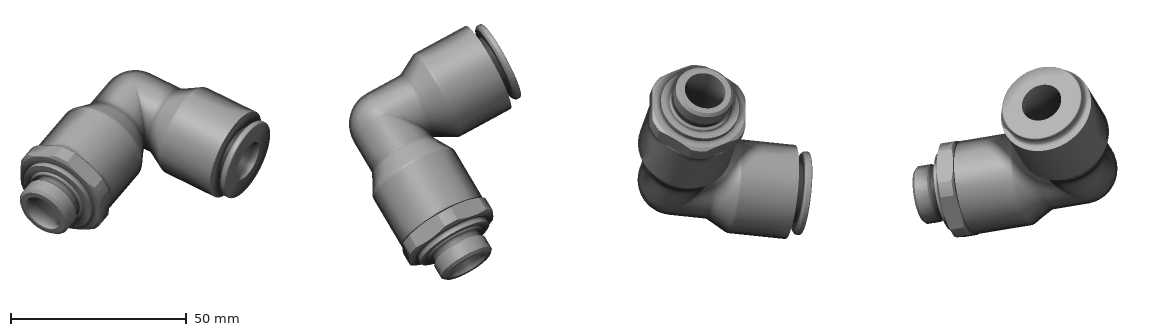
import cadquery as cq
import math

elbow_radius = 10.0
drum_radius = 13.5
bore_radius = 5.9
neck_blend_start = 10.2
shoulder_end = 17.6
drum_end = 34.05
cone_angle = math.radians(28)
neck_blend_radius = 2.35
shoulder_blend_radius = 1.9

collar_radius = 8.6
flange_radius = 11.9
flange_start = 36.2
collar_end = 38.25
flange_edge = 0.6
flange_lip = 0.45

gap_radius = 12.35
hex_start = 34.3
hex_end = 39.3
hex_flats = 2 * drum_radius
hex_corner_radius = 29.0 / 2
hex_chamfer = 0.5
washer_radius = 11.3
washer_end = 40.85
seal_radius = 9.1
seal_end = 41.5
thread_relief_radius = 7.55
thread_relief_end = 42.9
thread_radius = 8.35
thread_chamfer = 0.8
stem_end = 48.3


def along_x(profile):
    """Revolve an (x, radius) profile about the X axis."""
    return profile.close().revolve(360, (0, 0, 0), (1, 0, 0))


def x_to_minus_y(solid):
    """Swing a solid built along +X onto the -Y arm."""
    return solid.rotate((0, 0, 0), (0, 0, 1), -90)


def arm():
    """Neck that widens through a blended cone into the drum."""
    sin_cone = math.sin(cone_angle)
    cos_cone = math.cos(cone_angle)
    sin_half = math.sin(cone_angle / 2)
    cos_half = math.cos(cone_angle / 2)
    neck_rise = neck_blend_radius * (1 - cos_cone)
    shoulder_rise = shoulder_blend_radius * (1 - cos_cone)
    neck_middle = (
        neck_blend_start + neck_blend_radius * sin_half,
        elbow_radius + neck_blend_radius * (1 - cos_half),
    )
    cone_start = (neck_blend_start + neck_blend_radius * sin_cone, elbow_radius + neck_rise)
    cone_end = (shoulder_end - shoulder_blend_radius * sin_cone, drum_radius - shoulder_rise)
    shoulder_middle = (
        shoulder_end - shoulder_blend_radius * sin_half,
        drum_radius - shoulder_blend_radius * (1 - cos_half),
    )
    profile = (
        cq.Workplane("XY")
        .lineTo(0, elbow_radius)
        .lineTo(neck_blend_start, elbow_radius)
        .threePointArc(neck_middle, cone_start)
        .lineTo(*cone_end)
        .threePointArc(shoulder_middle, (shoulder_end, drum_radius))
        .lineTo(drum_end, drum_radius)
        .lineTo(drum_end, 0)
    )
    return along_x(profile)


def mitred_bend(radius, length):
    """Two round bars meeting at the origin, with a ball rounding the outer corner."""
    bar = cq.Workplane("YZ").circle(radius).extrude(length)
    return bar.union(x_to_minus_y(bar)).union(cq.Workplane("XY").sphere(radius))


def release_collar():
    """Collar sleeve and its edge-broken push flange."""
    profile = (
        cq.Workplane("XY")
        .moveTo(drum_end, 0)
        .lineTo(drum_end, collar_radius)
        .lineTo(flange_start, collar_radius)
        .lineTo(flange_start, flange_radius - flange_edge)
        .lineTo(flange_start + flange_edge, flange_radius)
        .lineTo(collar_end - flange_lip, flange_radius)
        .radiusArc((collar_end, flange_radius - flange_lip), flange_lip)
        .lineTo(collar_end, 0)
    )
    return along_x(profile)


def make_elbow():
    """Elbow housing with its collar and a bent bore."""
    housing = arm().union(x_to_minus_y(arm())).union(cq.Workplane("XY").sphere(elbow_radius))
    housing = housing.union(release_collar())
    return housing.cut(mitred_bend(bore_radius, stem_end))


def hexagon():
    """Hexagon with two flats facing X, rounded corners and chamfered ends."""
    prism = (
        cq.Workplane("YZ", origin=(hex_start, 0, 0))
        .polygon(6, hex_flats / math.cos(math.pi / 6))
        .extrude(hex_end - hex_start)
        .rotate((0, 0, 0), (1, 0, 0), 30)
    )
    envelope = (
        cq.Workplane("XY")
        .moveTo(hex_start, 0)
        .lineTo(hex_start, drum_radius)
        .lineTo(hex_start + hex_chamfer, hex_corner_radius)
        .lineTo(hex_end - hex_chamfer, hex_corner_radius)
        .lineTo(hex_end, drum_radius)
        .lineTo(hex_end, 0)
    )
    return prism.intersect(along_x(envelope))


def make_stem():
    """Hexagon, washer face, half-round seal ring and threaded end with a through bore."""
    seal_height = seal_end - washer_end
    hub = (
        cq.Workplane("XY")
        .moveTo(drum_end, 0)
        .lineTo(drum_end, gap_radius)
        .lineTo(hex_start, gap_radius)
        .lineTo(hex_start, washer_radius)
        .lineTo(washer_end, washer_radius)
        .lineTo(washer_end, seal_radius)
        .threePointArc(
            (seal_end, seal_radius - seal_height),
            (washer_end, seal_radius - 2 * seal_height),
        )
        .lineTo(washer_end, thread_relief_radius)
        .lineTo(thread_relief_end, thread_relief_radius)
        .lineTo(thread_relief_end + thread_chamfer, thread_radius)
        .lineTo(stem_end - thread_chamfer, thread_radius)
        .lineTo(stem_end, thread_radius - thread_chamfer)
        .lineTo(stem_end, 0)
    )
    bore = cq.Workplane("YZ").circle(bore_radius).extrude(stem_end)
    return x_to_minus_y(along_x(hub).union(hexagon()).cut(bore))


elbow = make_elbow()
stem = make_stem()
result = cq.Compound.makeCompound([elbow.solids().val(), stem.solids().val()])